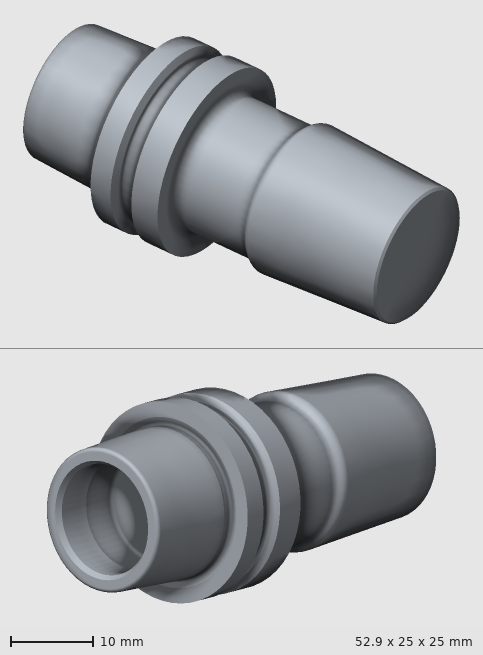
import cadquery as cq
import math


shank_length = 12.8
overall_length = 52.9
flange_width = 10.0
shank_end_x = -shank_length
nose_end_x = overall_length - shank_length

shank_tip_radius = 8.5
shank_taper = 1 / 20
shank_small_radius = 9.0
shank_tip_rounding = shank_small_radius - shank_tip_radius
shank_cone_end_x = -0.95
neck_radius = 9.5
neck_start_x = -0.65

relief_mouth_radius = 10.6
relief_inner_radius = 9.95
relief_angle = math.radians(20)

flange_radius = 12.5
groove_wall_start_x = 3.51
groove_wall_end_x = 5.58
groove_floor_radius = 10.95
groove_fillet = 0.25
groove_shoulder_radius = 11.6
groove_flare_angle = math.radians(60)

body_radius = 9.0
flange_fillet = 1.0

nose_max_radius = 10.0
nose_end_radius = 9.05
nose_tip_chamfer = 0.3
nose_ramp_angle = math.radians(45)
nose_crown_x = 21.94
ramp_rounding = 1.11

bore_radius = 6.92
bore_chamfer_radius = 7.4
bore_chamfer_length = 0.7
bore_land_end = 5.3
bore_groove_radius = 7.1
bore_depth = 10.35
bore_floor_radius = 6.6


def polar_point(center, radius, angle):
    """Point on a circle in the axial profile plane, at an angle from +X."""
    return (center[0] + radius * math.cos(angle), center[1] + radius * math.sin(angle))


def revolve_about_x(profile):
    """Full turn of a closed half profile around the part axis."""
    return profile.revolve(360, (0, 0, 0), (1, 0, 0))


def outer_body():
    """Solid of revolution for the whole outside."""
    cone_start_x = shank_end_x + shank_tip_rounding
    cone_length = shank_cone_end_x - cone_start_x
    cone_end_radius = shank_small_radius + shank_taper * cone_length
    tip_center = (cone_start_x, shank_tip_radius)
    tip_mid = polar_point(tip_center, shank_tip_rounding, math.radians(135))

    relief_radius = (relief_inner_radius - neck_radius) / (1 + math.sin(relief_angle))
    wall_depth = (relief_mouth_radius - relief_inner_radius) * math.tan(relief_angle)
    relief_center = (wall_depth - relief_radius * math.cos(relief_angle), neck_radius + relief_radius)
    relief_mid = polar_point(relief_center, relief_radius, (relief_angle - math.pi / 2) / 2)
    relief_end = (wall_depth, relief_inner_radius)

    flare_run = (flange_radius - groove_shoulder_radius) / math.tan(groove_flare_angle)
    groove_corner_height = groove_floor_radius + groove_fillet
    front_center = (groove_wall_start_x + groove_fillet, groove_corner_height)
    front_mid = polar_point(front_center, groove_fillet, math.radians(225))
    rear_center = (groove_wall_end_x - groove_fillet, groove_corner_height)
    rear_mid = polar_point(rear_center, groove_fillet, math.radians(315))

    fillet_center = (flange_width + flange_fillet, body_radius + flange_fillet)
    fillet_mid = polar_point(fillet_center, flange_fillet, math.radians(225))

    arc_rise = ramp_rounding * (1 - math.cos(nose_ramp_angle))
    arc_run = ramp_rounding * math.sin(nose_ramp_angle)
    straight_rise = nose_max_radius - body_radius - 2 * arc_rise
    ramp_run = 2 * arc_run + straight_rise / math.tan(nose_ramp_angle)
    foot_center = (nose_crown_x - ramp_run, body_radius + ramp_rounding)
    foot_mid = polar_point(foot_center, ramp_rounding, (nose_ramp_angle - math.pi) / 2)
    foot_end = polar_point(foot_center, ramp_rounding, nose_ramp_angle - math.pi / 2)
    crown_center = (nose_crown_x, nose_max_radius - ramp_rounding)
    crown_start = polar_point(crown_center, ramp_rounding, nose_ramp_angle + math.pi / 2)
    crown_mid = polar_point(crown_center, ramp_rounding, (nose_ramp_angle + math.pi) / 2)

    profile = (
        cq.Workplane("XY")
        .moveTo(shank_end_x, 0)
        .lineTo(shank_end_x, shank_tip_radius)
        .threePointArc(tip_mid, (cone_start_x, shank_small_radius))
        .lineTo(shank_cone_end_x, cone_end_radius)
        .lineTo(neck_start_x, neck_radius)
        .lineTo(relief_center[0], neck_radius)
        .threePointArc(relief_mid, relief_end)
        .lineTo(0, relief_mouth_radius)
        .lineTo(0, flange_radius)
        .lineTo(groove_wall_start_x - flare_run, flange_radius)
        .lineTo(groove_wall_start_x, groove_shoulder_radius)
        .lineTo(groove_wall_start_x, groove_corner_height)
        .threePointArc(front_mid, (front_center[0], groove_floor_radius))
        .lineTo(rear_center[0], groove_floor_radius)
        .threePointArc(rear_mid, (groove_wall_end_x, groove_corner_height))
        .lineTo(groove_wall_end_x, groove_shoulder_radius)
        .lineTo(groove_wall_end_x + flare_run, flange_radius)
        .lineTo(flange_width, flange_radius)
        .lineTo(flange_width, fillet_center[1])
        .threePointArc(fillet_mid, (fillet_center[0], body_radius))
        .lineTo(foot_center[0], body_radius)
        .threePointArc(foot_mid, foot_end)
        .lineTo(*crown_start)
        .threePointArc(crown_mid, (nose_crown_x, nose_max_radius))
        .lineTo(nose_end_x - nose_tip_chamfer, nose_end_radius)
        .lineTo(nose_end_x, nose_end_radius - nose_tip_chamfer)
        .lineTo(nose_end_x, 0)
        .close()
    )
    return revolve_about_x(profile)


def bore():
    """Blind bore: chamfered mouth, land, wider groove and flat floor with a rounded corner."""
    land_end_x = shank_end_x + bore_land_end
    floor_x = shank_end_x + bore_depth
    floor_fillet = bore_groove_radius - bore_floor_radius
    floor_center = (floor_x - floor_fillet, bore_floor_radius)
    floor_mid = polar_point(floor_center, floor_fillet, math.radians(45))
    profile = (
        cq.Workplane("XY")
        .moveTo(shank_end_x, 0)
        .lineTo(shank_end_x, bore_chamfer_radius)
        .lineTo(shank_end_x + bore_chamfer_length, bore_radius)
        .lineTo(land_end_x, bore_radius)
        .lineTo(land_end_x, bore_groove_radius)
        .lineTo(floor_center[0], bore_groove_radius)
        .threePointArc(floor_mid, (floor_x, bore_floor_radius))
        .lineTo(floor_x, 0)
        .close()
    )
    return revolve_about_x(profile)


result = outer_body().cut(bore())